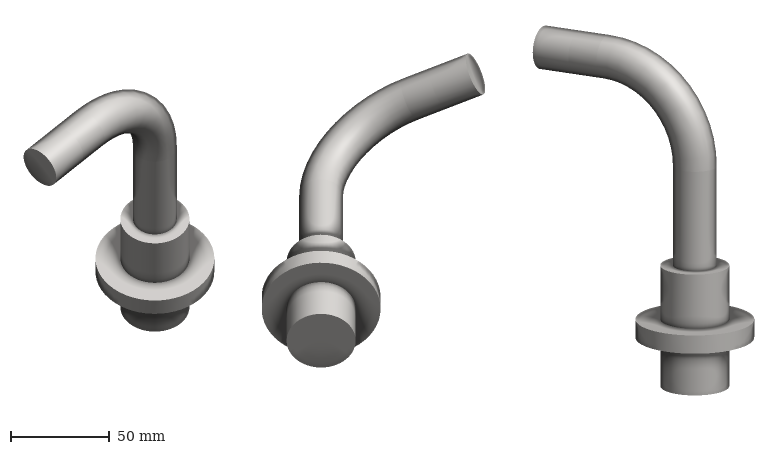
import cadquery as cq

total_height = 177.7
pipe_diameter = 22.2
bend_radius = 50.7
straight_after_bend = 16.2
tip_length = 20.5
hub_diameter = 35.0
hub_height = 63.6
flange_diameter = 60.3
flange_bottom = 25.6
flange_thickness = 9.6

arm_height = total_height - pipe_diameter / 2
bend_start = arm_height - bend_radius
pipe_end = bend_radius + straight_after_bend


def make_cylinder(diameter, bottom, height):
    """Upright cylinder on the Z axis."""
    return cq.Workplane("XY").workplane(offset=bottom).circle(diameter / 2).extrude(height)


def make_hub():
    """Sleeve around the foot of the pipe that carries the flange."""
    sleeve = make_cylinder(hub_diameter, 0, hub_height)
    bore = make_cylinder(pipe_diameter, 0, hub_height)
    return sleeve.cut(bore)


def make_flange():
    """Ring that fits around the hub."""
    disc = make_cylinder(flange_diameter, flange_bottom, flange_thickness)
    bore = make_cylinder(hub_diameter, flange_bottom, flange_thickness)
    return disc.cut(bore)


def make_pipe():
    """Round bar through the hub: upright, quarter bend, short arm."""
    upright = make_cylinder(pipe_diameter, 0, bend_start)
    bend = (
        cq.Workplane("XY")
        .workplane(offset=bend_start)
        .circle(pipe_diameter / 2)
        .revolve(90, (0, -bend_radius, 0), (1, -bend_radius, 0))
    )
    arm = make_arm_piece(bend_radius, straight_after_bend)
    return upright.union(bend).union(arm)


def make_arm_piece(start, length):
    """Horizontal cylinder at arm height, running toward -Y from a distance off the Z axis."""
    return (
        cq.Workplane("XZ", origin=(0, -start, arm_height))
        .circle(pipe_diameter / 2)
        .extrude(length)
    )


def make_tip():
    """End piece that butts against the pipe."""
    return make_arm_piece(pipe_end, tip_length)


hub = make_hub()
flange = make_flange()
pipe = make_pipe()
tip = make_tip()

result = cq.Compound.makeCompound([hub.val(), flange.val(), pipe.val(), tip.val()])